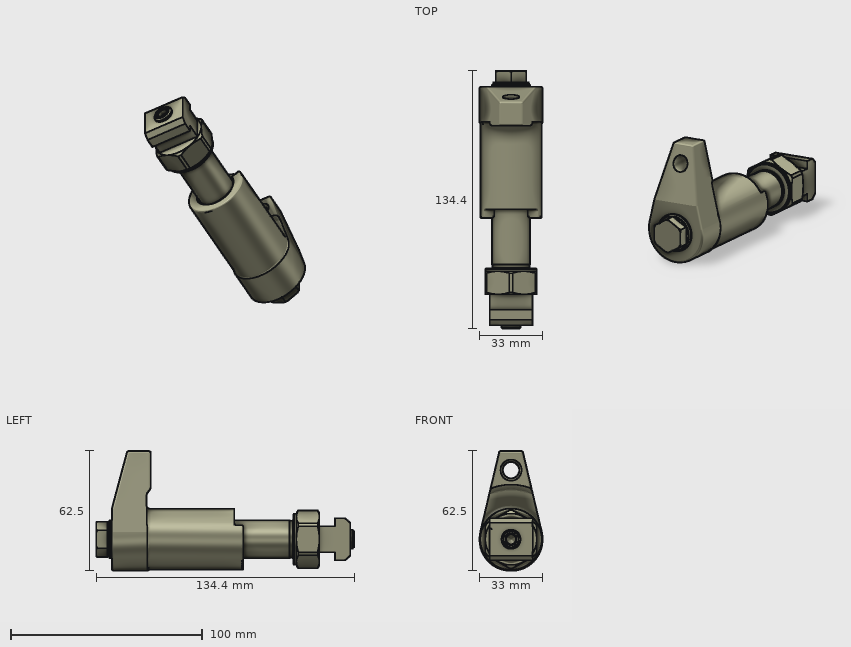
import cadquery as cq
import math


TOLERANCE = 0.01

LEVER_RADIUS = 16.5
LEVER_TOP = 46.0
LEVER_TOP_HALF_WIDTH = 6.1
LEVER_EDGE_ROUND = 1.2
SLOPE_START_HEIGHT = 16.0
SLOPE_ANGLE = 15.0
RECESS_FACE = 18.2
PAD_FACE = 20.4
PAD_INNER_RADIUS = 28.5
RECESS_ROOT_ROUND = 2.0
HOLE_HEIGHT = 36.0
HOLE_DIAMETER = 8.5
COUNTERSINK_DIAMETER = 11.0
COUNTERSINK_ANGLE = 90.0

ROD_RADIUS = 10.0
SLEEVE_RADIUS = 16.0
SLEEVE_END = 68.5
SLEEVE_ROOT_ROUND = 1.5
SLEEVE_END_ROUND = 0.9
SLEEVE_MOUTH_CHAMFER = 1.0
NOTCH_FLOOR = 63.9
NOTCH_FLANK_ANGLE = 28.0
NOTCH_ROOT_ROUND = 1.2
NOTCH_EDGE_ROUND = 0.6

BOLT_BACK = -8.2
BOLT_HEX_FRONT = -2.4
BOLT_ACROSS_FLATS = 16.0
BOLT_HEX_CHAMFER = 0.6
BOLT_COLLAR_RADIUS = 9.2
BOLT_FLANGE_RADIUS = 10.0
BOLT_FLANGE_BACK = -0.8

GROOVE_BACK = 92.5
GROOVE_DEPTH = 0.3
NUT_BACK = 94.5
NUT_HEX_BACK = 96.1
NUT_FRONT = 108.2
NUT_ACROSS_FLATS = 27.0
NUT_CORNER_RADIUS = 15.1
NUT_FACE_RADIUS = 13.4
NUT_CORNER_CHAMFER = 1.0
NUT_FLANGE_CHAMFER = 0.6

BLOCK_WIDTH = 22.4
BLOCK_NECK_HEIGHT = 13.7
BLOCK_HEAD_HEIGHT = 22.0
BLOCK_FACE_HEIGHT = 17.0
BLOCK_HEAD_BACK = 116.2
BLOCK_BEVEL_BACK = 121.5
BLOCK_FRONT = 124.3
TIP_FRONT = 126.2
TIP_RADIUS = 5.0
TIP_CHAMFER = 0.9
CENTER_HOLE_MOUTH_RADIUS = 3.1
CENTER_HOLE_RADIUS = 2.6
CENTER_HOLE_MOUTH_DEPTH = 0.4
CENTER_HOLE_DEPTH = 3.0
DRILL_POINT_ANGLE = 118.0


def plane_at(station):
    """Sketch plane across the axis: local x is X, local y is Z, extrusion runs toward -Y."""
    return cq.Workplane("XZ", origin=(0, -station, 0))


def turned(profile):
    """Revolve a closed (radius, station) profile about the Y axis."""
    points = [(radius, -station) for radius, station in profile]
    return cq.Workplane("XY").polyline(points).close().revolve(360, (0, 0, 0), (0, 1, 0))


def cylinder(radius, start, end):
    return plane_at(start).circle(radius).extrude(end - start)


def hexagon(across_flats, start, end):
    """Hexagonal prism with two corners on the Z axis."""
    corner_radius = across_flats / math.sqrt(3)
    corners = []
    for i in range(6):
        angle = math.radians(90 + 60 * i)
        corners.append((corner_radius * math.cos(angle), corner_radius * math.sin(angle)))
    return plane_at(start).polyline(corners).close().extrude(end - start)


def lever_outline(thickness):
    """Disc with straight sides running tangentially up to a narrow top."""
    top_distance = math.hypot(LEVER_TOP_HALF_WIDTH, LEVER_TOP)
    tangent_angle = math.atan2(LEVER_TOP, LEVER_TOP_HALF_WIDTH) - math.acos(LEVER_RADIUS / top_distance)
    tangent_x = LEVER_RADIUS * math.cos(tangent_angle)
    tangent_z = LEVER_RADIUS * math.sin(tangent_angle)
    return (
        plane_at(0)
        .moveTo(-tangent_x, tangent_z)
        .lineTo(-LEVER_TOP_HALF_WIDTH, LEVER_TOP)
        .lineTo(LEVER_TOP_HALF_WIDTH, LEVER_TOP)
        .lineTo(tangent_x, tangent_z)
        .threePointArc((0, -LEVER_RADIUS), (-tangent_x, tangent_z))
        .close()
        .extrude(thickness)
    )


def slope_cutter():
    """Wedge that leans the back of the lever forward toward its top."""
    rise = LEVER_TOP - SLOPE_START_HEIGHT
    run = rise * math.tan(math.radians(SLOPE_ANGLE))
    return (
        cq.Workplane("YZ")
        .moveTo(0, SLOPE_START_HEIGHT)
        .lineTo(-run, LEVER_TOP)
        .lineTo(run, LEVER_TOP)
        .lineTo(run, SLOPE_START_HEIGHT)
        .close()
        .extrude(LEVER_RADIUS, both=True)
    )


def recess_cutter():
    """Round clearance in front of the lever, bounded by a 45 degree wall with a rounded root."""
    depth = PAD_FACE - RECESS_FACE
    root_radius = PAD_INNER_RADIUS - depth
    outer_radius = PAD_INNER_RADIUS + depth
    cutter = turned([
        (0, RECESS_FACE),
        (root_radius, RECESS_FACE),
        (outer_radius, PAD_FACE + depth),
        (0, PAD_FACE + depth),
    ])
    return cutter.faces(">Y").edges().fillet(RECESS_ROOT_ROUND)


def countersink_cutter():
    depth = (COUNTERSINK_DIAMETER - HOLE_DIAMETER) / 2 / math.tan(math.radians(COUNTERSINK_ANGLE / 2))
    cone = cq.Solid.makeCone(
        COUNTERSINK_DIAMETER / 2,
        HOLE_DIAMETER / 2,
        depth,
        pnt=cq.Vector(0, -PAD_FACE, HOLE_HEIGHT),
        dir=cq.Vector(0, 1, 0),
    )
    return cq.Workplane(cone)


def make_lever():
    lever = lever_outline(PAD_FACE).cut(slope_cutter())
    seam_top = LEVER_RADIUS / 2
    side_seams = cq.selectors.BoxSelector(
        (-2 * LEVER_RADIUS, -0.9 * PAD_FACE, 0),
        (2 * LEVER_RADIUS, -0.1 * PAD_FACE, seam_top),
    )
    slope_bend = cq.selectors.BoxSelector(
        (-1, -1, SLOPE_START_HEIGHT - 1),
        (1, 1, SLOPE_START_HEIGHT + 1),
    )
    sharp_edges = lever.edges(side_seams + slope_bend).vals()
    rounded_edges = [edge for edge in lever.edges().vals() if edge not in sharp_edges]
    lever = lever.newObject(rounded_edges).fillet(LEVER_EDGE_ROUND)
    hole = plane_at(0).center(0, HOLE_HEIGHT).circle(HOLE_DIAMETER / 2).extrude(PAD_FACE)
    return lever.cut(recess_cutter()).cut(hole).cut(countersink_cutter())


def notch_cutter():
    """Sector above the two radial flanks, with rounded roots along the notch floor."""
    reach = 2 * SLEEVE_RADIUS
    flank_rise = reach * math.tan(math.radians(NOTCH_FLANK_ANGLE))
    sector = (
        plane_at(NOTCH_FLOOR)
        .polyline([(0, 0), (reach, flank_rise), (reach, reach), (-reach, reach), (-reach, flank_rise)])
        .close()
        .extrude(SLEEVE_END - NOTCH_FLOOR)
    )
    flank_roots = cq.selectors.BoxSelector(
        (-SLEEVE_RADIUS - 1, -NOTCH_FLOOR - 1, 0),
        (SLEEVE_RADIUS + 1, -NOTCH_FLOOR + 1, SLEEVE_RADIUS),
    )
    return sector.edges(flank_roots).fillet(NOTCH_ROOT_ROUND)


def sleeve_mouth_cutter():
    """Cone that chamfers the bore at the open end of the sleeve."""
    cone_back = SLEEVE_END - SLEEVE_MOUTH_CHAMFER
    return turned([
        (0, cone_back),
        (ROD_RADIUS, cone_back),
        (ROD_RADIUS + SLEEVE_MOUTH_CHAMFER, SLEEVE_END),
        (0, SLEEVE_END),
    ])


def is_outer_notch_edge(edge):
    """True for edges where the notch walls meet the outside of the sleeve."""
    middle = edge.positionAt(0.5)
    station = -middle.y
    on_outside = math.hypot(middle.x, middle.z) > SLEEVE_RADIUS - TOLERANCE
    beside_notch = NOTCH_FLOOR - TOLERANCE < station < SLEEVE_END - SLEEVE_END_ROUND - TOLERANCE
    return on_outside and beside_notch and middle.z > 0


def make_sleeve():
    sleeve = cylinder(SLEEVE_RADIUS, RECESS_FACE, SLEEVE_END)
    sleeve = sleeve.faces("<Y").edges().fillet(SLEEVE_END_ROUND)
    sleeve = sleeve.cut(cylinder(ROD_RADIUS, RECESS_FACE, SLEEVE_END)).cut(notch_cutter())
    notch_edges = [edge for edge in sleeve.edges().vals() if is_outer_notch_edge(edge)]
    sleeve = sleeve.newObject(notch_edges).fillet(NOTCH_EDGE_ROUND)
    return sleeve.cut(sleeve_mouth_cutter())


def make_root_fillet():
    """Concave round between sleeve and lever, trimmed to the lever outline."""
    root_radius = SLEEVE_RADIUS + SLEEVE_ROOT_ROUND
    root_end = RECESS_FACE + SLEEVE_ROOT_ROUND
    bend = SLEEVE_ROOT_ROUND * (1 - math.sqrt(0.5))
    ring = (
        cq.Workplane("XY")
        .moveTo(ROD_RADIUS, -RECESS_FACE)
        .lineTo(root_radius, -RECESS_FACE)
        .threePointArc((SLEEVE_RADIUS + bend, -RECESS_FACE - bend), (SLEEVE_RADIUS, -root_end))
        .lineTo(ROD_RADIUS, -root_end)
        .close()
        .revolve(360, (0, 0, 0), (0, 1, 0))
    )
    return ring.intersect(lever_outline(root_end))


def make_bolt():
    corner_radius = BOLT_ACROSS_FLATS / math.sqrt(3)
    corner_envelope = cylinder(corner_radius, BOLT_BACK, BOLT_HEX_FRONT)
    corner_envelope = corner_envelope.faces(">Y").edges().chamfer(BOLT_HEX_CHAMFER)
    head = hexagon(BOLT_ACROSS_FLATS, BOLT_BACK, BOLT_HEX_FRONT).intersect(corner_envelope)
    cone_length = BOLT_FLANGE_RADIUS - BOLT_COLLAR_RADIUS
    flange = turned([
        (0, BOLT_HEX_FRONT),
        (BOLT_COLLAR_RADIUS, BOLT_HEX_FRONT),
        (BOLT_COLLAR_RADIUS, BOLT_FLANGE_BACK - cone_length),
        (BOLT_FLANGE_RADIUS, BOLT_FLANGE_BACK),
        (BOLT_FLANGE_RADIUS, 0),
        (0, 0),
    ])
    return head.union(flange)


def make_rod():
    """Plain rod from the lever to the nut, with a shallow groove just behind the nut."""
    groove_radius = ROD_RADIUS - GROOVE_DEPTH
    return turned([
        (0, 0),
        (ROD_RADIUS, 0),
        (ROD_RADIUS, GROOVE_BACK),
        (groove_radius, GROOVE_BACK + GROOVE_DEPTH),
        (groove_radius, NUT_BACK - GROOVE_DEPTH),
        (ROD_RADIUS, NUT_BACK),
        (0, NUT_BACK),
    ])


def make_nut():
    corner_envelope = turned([
        (0, NUT_HEX_BACK),
        (NUT_FACE_RADIUS, NUT_HEX_BACK),
        (NUT_CORNER_RADIUS, NUT_HEX_BACK + NUT_CORNER_CHAMFER),
        (NUT_CORNER_RADIUS, NUT_FRONT - NUT_CORNER_CHAMFER),
        (NUT_FACE_RADIUS, NUT_FRONT),
        (0, NUT_FRONT),
    ])
    body = hexagon(NUT_ACROSS_FLATS, NUT_HEX_BACK, NUT_FRONT).intersect(corner_envelope)
    flange = cylinder(NUT_FACE_RADIUS, NUT_BACK, NUT_HEX_BACK)
    return body.union(flange.faces(">Y").edges().chamfer(NUT_FLANGE_CHAMFER))


def make_block():
    half_profile = [
        (NUT_FRONT, BLOCK_NECK_HEIGHT / 2),
        (BLOCK_HEAD_BACK, BLOCK_NECK_HEIGHT / 2),
        (BLOCK_HEAD_BACK, BLOCK_HEAD_HEIGHT / 2),
        (BLOCK_BEVEL_BACK, BLOCK_HEAD_HEIGHT / 2),
        (BLOCK_FRONT, BLOCK_FACE_HEIGHT / 2),
    ]
    upper = [(-station, height) for station, height in half_profile]
    lower = [(-station, -height) for station, height in reversed(half_profile)]
    return cq.Workplane("YZ").polyline(upper + lower).close().extrude(BLOCK_WIDTH / 2, both=True)


def make_tip():
    return cylinder(TIP_RADIUS, BLOCK_FRONT, TIP_FRONT).faces("<Y").edges().chamfer(TIP_CHAMFER)


def center_hole_cutter():
    bore_bottom = TIP_FRONT - CENTER_HOLE_DEPTH
    point_depth = CENTER_HOLE_RADIUS / math.tan(math.radians(DRILL_POINT_ANGLE / 2))
    return turned([
        (0, TIP_FRONT),
        (CENTER_HOLE_MOUTH_RADIUS, TIP_FRONT),
        (CENTER_HOLE_RADIUS, TIP_FRONT - CENTER_HOLE_MOUTH_DEPTH),
        (CENTER_HOLE_RADIUS, bore_bottom),
        (0, bore_bottom - point_depth),
    ])


pieces = [make_root_fillet(), make_sleeve(), make_bolt(), make_rod(), make_nut(), make_block(), make_tip()]
result = make_lever()
for piece in pieces:
    result = result.union(piece)
result = result.cut(center_hole_cutter())